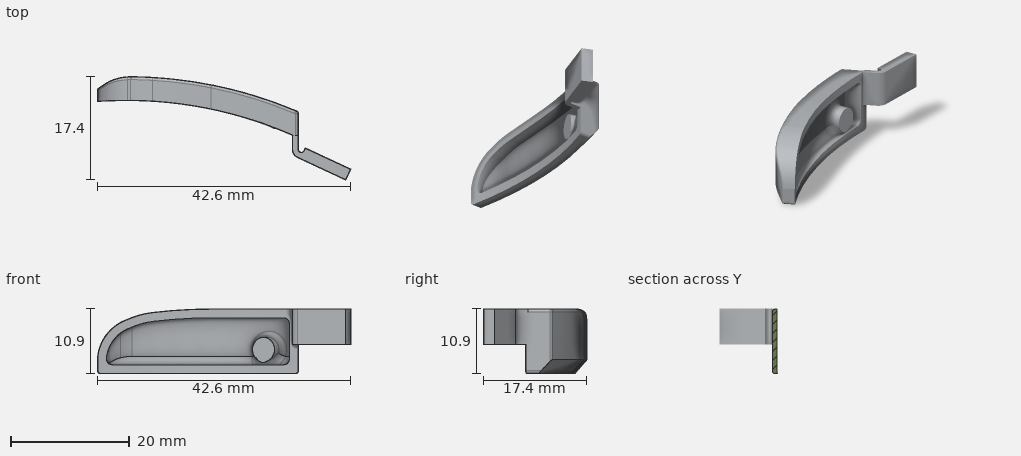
import cadquery as cq
import math

body_length = 33.8
body_height = 10.9
body_thickness = 4.0
apex_x = 5.0
front_radius = 69.0
back_radius = front_radius + body_thickness
arc_center = cq.Vector(apex_x, -front_radius)
corner_radius = 0.5
back_edge_radius = 0.5
bevel_depth = 2.05
bevel_height = 2.36
bevel_rise = bevel_height / bevel_depth

nose_start_angle = -0.65
upper_nose_radius = 9.5
upper_nose_angle = 13.5
lower_nose_radius = 7.2
nose_flat_angle = 34.6

top_straight_end = (19.1, body_height)
shoulder_end = (9.2, 10.3)
shoulder_start = (5.5, 9.34)
nose_top_x = 5.05
nose_outline_radius = 7.61
nose_outline_center = (7.545, 1.96)

wall = 1.5
pocket_corner_radius = 1.0
pocket_lead = 2.0

tab_angle = 25.0
boss_x = 27.93
boss_y = -3.88
boss_z = 4.07
boss_radius = 2.05
boss_fillet = 1.0
boss_reach = 6.0
boss_blank_radius = 2.5
boss_blank_depth = 1.0
boss_overlap = 0.01

tab_width = 6.0
tab_length = 8.95
tab_thickness = 2.0
neck_thickness = 1.0
neck_top_y = -5.9
bend_inner_radius = 0.5
bend_outer_radius = bend_inner_radius + neck_thickness
bend_center = cq.Vector(body_length + bend_inner_radius, -8.26)

overlap = 1.0
depth_span = 40.0
tolerance = 0.02


def turned(angle):
    """Unit vector along +Y turned by `angle` degrees toward -X."""
    turn = math.radians(angle)
    return cq.Vector(-math.sin(turn), math.cos(turn))


def body_arc_point(radius, x):
    """Point at `x` on an arc about the body's axis of curvature."""
    return (x, arc_center.y + math.sqrt(radius**2 - (x - arc_center.x) ** 2))


def curved_band(inset, lead):
    """Full-height band with its back face `inset` inside the body's and its front `lead` ahead."""
    upper_center = arc_center + turned(nose_start_angle) * (back_radius - upper_nose_radius)
    lower_center = upper_center + turned(upper_nose_angle) * (upper_nose_radius - lower_nose_radius)

    def upper_nose(angle):
        return (upper_center + turned(angle) * (upper_nose_radius - inset)).toTuple()[:2]

    def lower_nose(angle):
        return (lower_center + turned(angle) * (lower_nose_radius - inset)).toTuple()[:2]

    left = -overlap
    right = body_length + overlap
    middle = (left + right) / 2
    front = front_radius - lead
    back = back_radius - inset
    flat_x, flat_y = lower_nose(nose_flat_angle)
    flat_drop = (flat_x - left) * math.tan(math.radians(nose_flat_angle))
    return (
        cq.Workplane("XY")
        .moveTo(*body_arc_point(front, left))
        .threePointArc(body_arc_point(front, middle), body_arc_point(front, right))
        .lineTo(*body_arc_point(back, right))
        .threePointArc(body_arc_point(back, middle), upper_nose(nose_start_angle))
        .threePointArc(
            upper_nose((nose_start_angle + upper_nose_angle) / 2),
            upper_nose(upper_nose_angle),
        )
        .threePointArc(
            lower_nose((upper_nose_angle + nose_flat_angle) / 2),
            lower_nose(nose_flat_angle),
        )
        .lineTo(left, flat_y - flat_drop)
        .close()
        .extrude(body_height)
    )


def outline_prism(inset, corner):
    """Side outline moved inward by `inset`, run along Y, before its left end is cut flat."""
    center_x, center_z = nose_outline_center
    left = center_x - nose_outline_radius

    def nose_point(x):
        return (x, center_z + math.sqrt(nose_outline_radius**2 - (x - center_x) ** 2))

    outline = (
        cq.Workplane("XZ", origin=(0, depth_span / 2, 0))
        .moveTo(left, 0)
        .lineTo(body_length, 0)
        .lineTo(body_length, body_height)
        .lineTo(*top_straight_end)
        .tangentArcPoint(shoulder_end, relative=False)
        .tangentArcPoint(shoulder_start, relative=False)
        .lineTo(*nose_point(nose_top_x))
        .threePointArc(nose_point((left + nose_top_x) / 2), (left, center_z))
        .close()
    )
    if inset > 0:
        outline = outline.offset2D(-inset)
    prism = outline.extrude(depth_span)
    right = body_length - inset
    for z in (inset, body_height - inset):
        prism = prism.edges(cq.selectors.NearestToPointSelector((right, 0, z))).fillet(corner)
    return prism


def left_end_block(inset, corner):
    """Block whose flat left end and rounded lower corner trim the body or the pocket."""
    return (
        cq.Workplane("XY", origin=(inset, 0, inset))
        .box(body_length, depth_span, body_height, centered=(False, True, False))
        .edges("|Y and <X and <Z")
        .fillet(corner)
    )


def bevel_ring(inset):
    """Ring below the bevel of the lower back edge; `inset` moves the bevel into the body."""
    lift = inset * math.hypot(1, bevel_rise)
    radius = back_radius - bevel_depth
    run = body_thickness + overlap
    low = lift - run * bevel_rise
    high = lift + run * bevel_rise
    return (
        cq.Workplane("XZ", origin=arc_center.toTuple())
        .polyline([(radius - run, low), (radius + run, low), (radius + run, high)])
        .close()
        .revolve(360, (0, 0, 0), (0, 1, 0))
    )


def round_back(body):
    """Round the rim of the back face above the bevel, along the top and the right end."""
    back_faces = []
    for face in body.faces().vals():
        normal = face.normalAt()
        if normal.y > tolerance and abs(normal.z) < tolerance:
            back_faces.append(face)

    rim = []
    for edge in body.edges().vals():
        owners = [face for face in back_faces if any(edge.isSame(other) for other in face.Edges())]
        if len(owners) == 1 and edge.Center().z > bevel_height + tolerance:
            rim.append(edge)
    return body.newObject(rim).fillet(back_edge_radius)


def boss_cylinder(radius, behind, ahead):
    """Cylinder on the boss axis, from `ahead` of the boss face to `behind` it."""
    toward_back = turned(-tab_angle)
    start = cq.Vector(boss_x, boss_y, boss_z) - toward_back * ahead
    plane = cq.Plane(origin=start, xDir=(0, 0, 1), normal=toward_back)
    return cq.Workplane(plane).circle(radius).extrude(behind + ahead)


def leave_boss(space, radius):
    """Remove a long boss from `space` and round its foot on the wall behind."""
    pierced = space.cut(boss_cylinder(radius, boss_reach, boss_reach))
    foot = pierced.edges(cq.selectors.NearestToPointSelector((boss_x, 0, boss_z)))
    return foot.fillet(boss_fillet)


def pocket_opening():
    """The pocket's outline run along Y through the whole body."""
    prism = outline_prism(wall, pocket_corner_radius)
    return prism.intersect(left_end_block(wall, pocket_corner_radius))


def pocket():
    """Pocket with even walls; the boss foot is rounded onto the back wall and onto the bevel."""
    above_bevel = (
        cq.Workplane("XY")
        .box(body_length + 2 * overlap, depth_span, 2 * body_height)
        .translate((body_length / 2, 0, 0))
        .cut(bevel_ring(wall))
    )
    return (
        pocket_opening()
        .intersect(leave_boss(curved_band(wall, pocket_lead), boss_radius))
        .intersect(leave_boss(above_bevel, boss_radius - boss_overlap))
    )


def boss_face_relief():
    """Space ahead of the flat boss face, within the pocket opening."""
    disc = boss_cylinder(boss_radius + boss_fillet, 0, pocket_lead)
    return disc.intersect(pocket_opening())


def bent_tab():
    """Thin neck along Y that bends into the thicker, angled tab."""
    up = turned(-tab_angle)
    along = cq.Vector(up.y, -up.x)

    def tab_point(length, height):
        return (bend_center + along * length + up * height).toTuple()[:2]

    def bend_point(radius, angle):
        return (bend_center + turned(angle) * radius).toTuple()[:2]

    neck_side = 90.0
    outer_bend_end = 180.0 - tab_angle
    inner_bend_end = 270.0 - tab_angle
    top = tab_thickness - bend_outer_radius
    return (
        cq.Workplane("XY", origin=(0, 0, body_height - tab_width))
        .moveTo(body_length - neck_thickness, neck_top_y)
        .lineTo(*bend_point(bend_outer_radius, neck_side))
        .threePointArc(
            bend_point(bend_outer_radius, (neck_side + outer_bend_end) / 2),
            bend_point(bend_outer_radius, outer_bend_end),
        )
        .lineTo(*tab_point(tab_length, -bend_outer_radius))
        .lineTo(*tab_point(tab_length, top))
        .lineTo(*tab_point(bend_inner_radius, top))
        .lineTo(*tab_point(bend_inner_radius, 0))
        .threePointArc(
            bend_point(bend_inner_radius, (neck_side + inner_bend_end) / 2),
            bend_point(bend_inner_radius, neck_side),
        )
        .lineTo(body_length, neck_top_y)
        .close()
        .extrude(tab_width)
    )


body = outline_prism(0, corner_radius).intersect(curved_band(0, 0)).cut(bevel_ring(0))
body = round_back(body).intersect(left_end_block(0, corner_radius))
body = body.union(boss_cylinder(boss_blank_radius, boss_blank_depth, 0))
body = body.cut(boss_face_relief())
body = body.cut(pocket())
result = body.union(bent_tab())